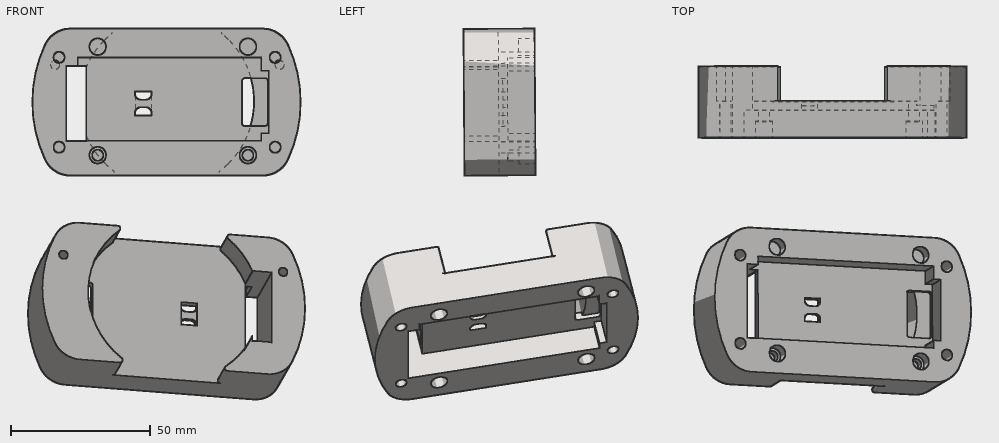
import cadquery as cq

LENGTH = 96.53
HEIGHT = 52.81
BASE_THICKNESS = 13.2
ARM_THICKNESS = 12.45
TOTAL_THICKNESS = BASE_THICKNESS + ARM_THICKNESS
END_RADIUS = 48.5
CORNER_RADIUS = 10.0
TILT = 0.4

OPENING_RADIUS = 31.46
OPENING_Z = 0.35
ARM_TIP_RADIUS = 1.0
ARM_TIP_LIMIT_X = 22.0

POCKET_DEPTH = 10.0
POCKET_BOTTOM = -14.0
MAIN_POCKET_LEFT = -31.9
MAIN_POCKET_RIGHT = 34.1
MAIN_POCKET_TOP = 16.0
RIGHT_STEP_END = 36.75
RIGHT_STEP_HALF_HEIGHT = 11.2

WINDOW_LEFT = -36.0
WINDOW_RIGHT = -28.9
WINDOW_TOP = 13.0

SLOT_LEFT = 27.2
SLOT_RIGHT = 36.4
SLOT_HALF_HEIGHT = 8.6
SLOT_CORNER_RADIUS = 1.0
ARM_TONGUE_HEIGHT = 1.5

PORT_CENTER_X = -8.35
PORT_CENTER_Z = -0.5
PORT_WIDTH = 5.9
PORT_INNER_OFFSET = 1.4
PORT_OUTER_OFFSET = 4.3
PORT_CORNER_RADIUS = 2.0
PORT_BRIDGE_THICKNESS = 1.6

CORNER_HOLE_DIAMETER = 4.0
CORNER_HOLE_CENTER_X = 0.22
CORNER_HOLE_CENTER_Z = -0.1
CORNER_HOLE_SPACING_X = 77.7
CORNER_HOLE_SPACING_Z = 32.3
CORNER_HOLE_UPPER_Z = CORNER_HOLE_CENTER_Z + CORNER_HOLE_SPACING_Z / 2
CORNER_HOLE_LOWER_Z = CORNER_HOLE_CENTER_Z - CORNER_HOLE_SPACING_Z / 2

EDGE_HOLE_DIAMETER = 6.0
EDGE_HOLE_DEPTH = 6.0
EDGE_HOLE_CENTER_X = 2.27
EDGE_HOLE_SPACING_X = 54.0
EDGE_HOLE_SPACING_Z = 39.0
EDGE_HOLE_UPPER_Z = OPENING_Z + EDGE_HOLE_SPACING_Z / 2
EDGE_HOLE_LOWER_Z = OPENING_Z - EDGE_HOLE_SPACING_Z / 2
STEPPED_HOLE_DIAMETER = 4.0
STEPPED_HOLE_DEPTH = 10.0

ARM_HOLE_DIAMETER = 3.2
ARM_HOLE_SPACING_X = CORNER_HOLE_SPACING_X + 3.0
ARM_HOLE_Z = CORNER_HOLE_UPPER_Z - 2.55


def sketch_plane(depth):
    """XZ plane at the given depth behind the front face; extrude negative to go backwards."""
    return cq.Workplane("XZ", origin=(0, depth, 0))


def block(left, right, bottom, top, start, end):
    """Box spanning X, Z and a depth range."""
    size = (right - left, end - start, top - bottom)
    return cq.Workplane("XY").box(*size, centered=False).translate((left, start, bottom))


def cylinders(points, diameter, start, end):
    """Round cutters along Y at (x, z) points."""
    return sketch_plane(start).pushPoints(points).circle(diameter / 2).extrude(start - end)


def pair_in_x(spacing, z, center_x):
    """Two (x, z) points on either side of a center."""
    return [(center_x - spacing / 2, z), (center_x + spacing / 2, z)]


def make_profile(start, end):
    """Rounded outline: flat long edges, bulging ends and tangent corners."""
    end_offset = LENGTH / 2 - END_RADIUS
    right_disc = cylinders([(end_offset, 0)], 2 * END_RADIUS, start, end)
    left_disc = cylinders([(-end_offset, 0)], 2 * END_RADIUS, start, end)
    bar = block(-LENGTH / 2, LENGTH / 2, -HEIGHT / 2, HEIGHT / 2, start, end)
    return bar.intersect(right_disc).intersect(left_disc).edges("|Y").fillet(CORNER_RADIUS)


def make_opening(start):
    """Round opening between the arms, from a given depth to the back."""
    return cylinders([(0, OPENING_Z)], 2 * OPENING_RADIUS, start, TOTAL_THICKNESS)


def make_arms():
    """Rear half of the outline, split into two arms by the round opening."""
    arms = make_profile(BASE_THICKNESS, TOTAL_THICKNESS).cut(make_opening(BASE_THICKNESS))
    tips = cq.selectors.BoxSelector(
        (-ARM_TIP_LIMIT_X, BASE_THICKNESS, -HEIGHT), (ARM_TIP_LIMIT_X, TOTAL_THICKNESS, HEIGHT)
    )
    return arms.edges("|Y").edges(tips).fillet(ARM_TIP_RADIUS)


def make_pocket():
    main = block(MAIN_POCKET_LEFT, MAIN_POCKET_RIGHT, POCKET_BOTTOM, MAIN_POCKET_TOP, 0, POCKET_DEPTH)
    step = block(
        MAIN_POCKET_LEFT, RIGHT_STEP_END, -RIGHT_STEP_HALF_HEIGHT, RIGHT_STEP_HALF_HEIGHT, 0, POCKET_DEPTH
    )
    window = block(WINDOW_LEFT, WINDOW_RIGHT, POCKET_BOTTOM, WINDOW_TOP, 0, TOTAL_THICKNESS)
    return main.union(step).union(window)


def make_slot():
    slot = block(
        SLOT_LEFT, SLOT_RIGHT, -SLOT_HALF_HEIGHT, SLOT_HALF_HEIGHT, POCKET_DEPTH, BASE_THICKNESS
    )
    slot = slot.edges("|Y").fillet(SLOT_CORNER_RADIUS)
    tongue_start = BASE_THICKNESS - ARM_TONGUE_HEIGHT
    tongue = block(SLOT_LEFT, SLOT_RIGHT, -SLOT_HALF_HEIGHT, SLOT_HALF_HEIGHT, tongue_start, BASE_THICKNESS)
    return slot.cut(tongue.cut(make_opening(tongue_start)))


def make_ports():
    """Two openings with rounded facing corners, joined behind the bar between them."""
    left = PORT_CENTER_X - PORT_WIDTH / 2
    right = PORT_CENTER_X + PORT_WIDTH / 2
    inner_z = PORT_CENTER_Z + PORT_INNER_OFFSET
    outer_z = PORT_CENTER_Z + PORT_OUTER_OFFSET
    mirrored_outer_z = PORT_CENTER_Z - PORT_OUTER_OFFSET
    bridge_back = POCKET_DEPTH + PORT_BRIDGE_THICKNESS
    upper = block(left, right, inner_z, outer_z, POCKET_DEPTH, BASE_THICKNESS)
    upper = upper.faces("<Z").edges("|Y").fillet(PORT_CORNER_RADIUS)
    lower = upper.mirror("XY", (0, 0, PORT_CENTER_Z))
    relief = block(left, right, mirrored_outer_z, outer_z, bridge_back, BASE_THICKNESS)
    return upper.union(lower).union(relief)


def make_holes():
    corner_points = []
    for z in (CORNER_HOLE_UPPER_Z, CORNER_HOLE_LOWER_Z):
        corner_points += pair_in_x(CORNER_HOLE_SPACING_X, z, CORNER_HOLE_CENTER_X)
    lower_points = pair_in_x(EDGE_HOLE_SPACING_X, EDGE_HOLE_LOWER_Z, EDGE_HOLE_CENTER_X)
    upper_points = pair_in_x(EDGE_HOLE_SPACING_X, EDGE_HOLE_UPPER_Z, EDGE_HOLE_CENTER_X)
    edge_points = upper_points + lower_points
    arm_points = pair_in_x(ARM_HOLE_SPACING_X, ARM_HOLE_Z, CORNER_HOLE_CENTER_X)
    holes = cylinders(corner_points, CORNER_HOLE_DIAMETER, 0, BASE_THICKNESS)
    holes = holes.union(cylinders(edge_points, EDGE_HOLE_DIAMETER, 0, EDGE_HOLE_DEPTH))
    holes = holes.union(cylinders(lower_points, STEPPED_HOLE_DIAMETER, 0, STEPPED_HOLE_DEPTH))
    return holes.union(cylinders(arm_points, ARM_HOLE_DIAMETER, BASE_THICKNESS, TOTAL_THICKNESS))


body = make_profile(0, BASE_THICKNESS).union(make_arms())
for cutter in (make_pocket(), make_slot(), make_ports(), make_holes()):
    body = body.cut(cutter)

body = body.translate((0, -TOTAL_THICKNESS / 2, 0))
result = body.rotate((0, 0, 0), (1, 0, 0), -TILT)